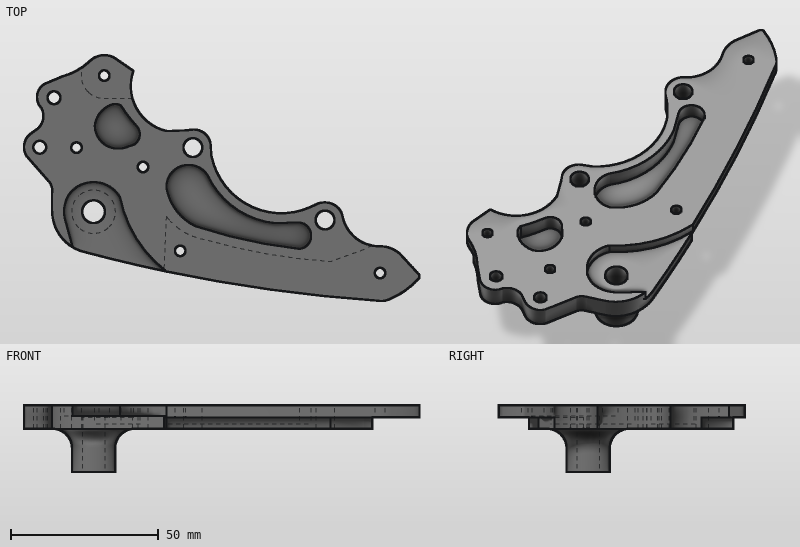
import cadquery as cq

plate_thickness = 8.0
step_depth = 4.1
boss_pocket_depth = 3.7
weight_pocket_depth = 6.4

boss_center = (23.5, 30.3)
boss_length = 14.6
boss_radius = 7.4
boss_flare = 6.4
bore_diameter = 7.6

screw_diameter = 3.5
upper_screw = (27.2, 76.3)
tail_screw = (120.5, 9.5)
screw_holes = [upper_screw, tail_screw, (17.8, 52.0), (40.3, 45.4), (52.9, 17.0)]
ear_diameter = 4.3
ear_holes = [(10.2, 68.8), (5.4, 52.1)]
lug_diameter = 6.3
lug_holes = [(57.2, 52.0), (101.9, 27.5)]

upper_clearance_radius = 7.8
tail_clearance_radius = 9.6
clearance_reach = 20.1


def trace(start, steps):
    """Closed wire: a step of one point is a line, of two points an arc."""
    path = cq.Workplane("XY").moveTo(*start)
    for step in steps:
        path = path.lineTo(*step[0]) if len(step) == 1 else path.threePointArc(*step)
    return path.close()


def pocket_from_top(start, steps, depth):
    """Cutter reaching down from the top face."""
    return trace(start, steps).extrude(depth).translate((0, 0, plate_thickness - depth))


def plate():
    start = (9.5, 36.8)
    steps = [
        [(9.5, 30.3)],
        [(12.6, 21.7), (20.0, 16.7)],
        [(68.5, 6.2), (119.4, 0.1)],
        [(120.5, 0.0), (124.1, 0.8)],
        [(129.5, 3.9), (133.3, 7.4)],
        [(133.9, 8.3), (133.6, 9.1)],
        [(127.2, 16.0)],
        [(124.1, 18.0), (120.0, 18.6)],
        [(112.2, 21.4), (108.0, 27.8)],
        [(107.6, 29.6)],
        [(101.9, 33.5), (98.9, 32.8)],
        [(96.9, 31.9)],
        [(76.7, 32.1), (63.5, 49.3)],
        [(63.2, 53.3)],
        [(61.3, 56.6), (57.2, 58.1)],
        [(55.0, 57.8)],
        [(48.3, 57.5)],
        [(39.4, 63.3), (37.1, 77.9)],
        [(30.7, 82.3)],
        [(27.2, 83.3), (22.5, 81.4)],
        [(18.0, 78.0), (13.0, 76.0)],
        [(7.2, 73.6)],
        [(4.5, 70.3), (5.9, 65.3)],
        [(6.5, 62.5), (4.8, 58.5)],
        [(2.4, 56.8)],
        [(0.0, 52.5), (1.0, 49.0)],
        [(8.7, 40.2)],
        [(9.4, 38.7), start],
    ]
    return trace(start, steps).extrude(plate_thickness)


def boss():
    flare_radius = boss_radius + boss_flare
    mid_offset = boss_flare * (1 - 0.5 ** 0.5)
    profile = (
        cq.Workplane("XZ")
        .moveTo(0, -boss_length)
        .lineTo(boss_radius, -boss_length)
        .lineTo(boss_radius, -boss_flare)
        .threePointArc((boss_radius + mid_offset, -mid_offset), (flare_radius, 0))
        .lineTo(0, 0)
        .close()
    )
    return profile.revolve(360, (0, 0, 0), (0, 1, 0)).translate((*boss_center, 0))


def boss_pocket():
    """Open pocket above the boss, running out through the lower edge."""
    start = (16.5, 18.3)
    steps = [
        [(14.2, 26.6)],
        [(13.8, 32.4), (15.4, 36.3)],
        [(23.5, 40.3), (32.5, 35.1)],
        [(38.5, 20.3), (48.3, 9.9)],
        [(48.3, 0.0)],
        [(16.5, 0.0)],
    ]
    return pocket_from_top(start, steps, boss_pocket_depth)


def long_pocket():
    start = (48.2, 38.5)
    steps = [
        [(54.1, 45.9), (62.1, 42.6)],
        [(71.3, 31.5), (85.0, 26.4)],
        [(92.4, 26.6)],
        [(97.2, 22.1), (93.2, 17.7)],
        [(73.5, 21.0), (58.2, 25.3)],
        [(51.3, 31.0), start],
    ]
    return pocket_from_top(start, steps, weight_pocket_depth)


def short_pocket():
    start = (24.0, 59.2)
    steps = [
        [(25.7, 63.6), (29.5, 66.4)],
        [(31.2, 66.7), (32.8, 66.1)],
        [(35.3, 62.5), (38.2, 59.2)],
        [(39.2, 56.4), (35.6, 52.5)],
        [(28.0, 52.6), start],
    ]
    return pocket_from_top(start, steps, weight_pocket_depth)


def underside_recess():
    """Cut-back strip below the long pocket, out to the lower edge and tail."""
    cut_height = plate_thickness - step_depth
    start = (47.4, 0.0)
    steps = [
        [(47.4, 9.9)],
        [(48.2, 28.6)],
        [(53.8, 23.5), (61.5, 20.7)],
        [(81.7, 16.0), (103.7, 13.4)],
        [(116.3, 18.0)],
        [(120.5, 0.0)],
    ]
    return trace(start, steps).extrude(cut_height)


def screw_clearance(center, radius):
    """Underside cut around a screw, open toward +X."""
    cut_height = plate_thickness - step_depth
    x, y = center
    start = (x, y - radius)
    steps = [
        [(x - radius, y), (x, y + radius)],
        [(x + clearance_reach, y + radius)],
        [(x + clearance_reach, y - radius)],
    ]
    return trace(start, steps).extrude(cut_height)


def through_holes(centers, diameter):
    span = plate_thickness + boss_length
    return (
        cq.Workplane("XY", origin=(0, 0, -boss_length))
        .pushPoints(centers)
        .circle(diameter / 2)
        .extrude(span)
    )


body = plate()
for cutter in (
    boss_pocket(),
    long_pocket(),
    short_pocket(),
    underside_recess(),
    screw_clearance(upper_screw, upper_clearance_radius),
    screw_clearance(tail_screw, tail_clearance_radius),
):
    body = body.cut(cutter)

body = body.union(boss())
for centers, diameter in (
    (screw_holes, screw_diameter),
    (ear_holes, ear_diameter),
    (lug_holes, lug_diameter),
    ([boss_center], bore_diameter),
):
    body = body.cut(through_holes(centers, diameter))

result = body